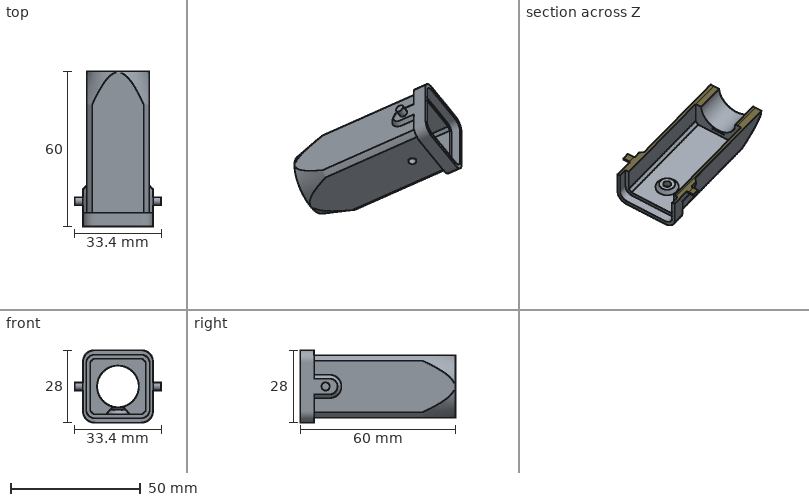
import cadquery as cq
import math

length = 60.0

body_side = 24.25
body_flat_width = 19.9
nose_length = 12.9
tip_diameter = 24.0

flange_width = 27.1
flange_height = 28.0
flange_depth = 5.35
flange_corner_radius = 4.5
socket_side = 24.6
socket_corner_radius = 3.5
socket_depth = 3.6

cavity_side = 21.35
cavity_flat_width = 18.85
end_wall = 12.0
entry_diameter = 16.0

lug_base_width = 9.0
lug_top_width = 6.0
lug_centre_y = 11.4
pin_diameter = 3.2
pin_centre_y = 9.8
pin_span = 33.4

boss_base_diameter = 9.0
boss_top_diameter = 6.2
boss_height = 1.6
boss_centre_y = 14.05
screw_hole_diameter = 3.05

lip_bottom_width = 5.7
lip_top_width = 4.75
lip_bottom_height = 1.8
lip_top_height = 2.6
lip_reach = 0.3

half_body = body_side / 2
half_flange = flange_width / 2
nose_start = length - nose_length
cavity_end = length - end_wall
cavity_floor = -cavity_side / 2


def bar(width, height, end):
    """Rectangular bar along Y, from the open end to Y = end."""
    return cq.Workplane("XY").box(width, end, height).translate((0, end / 2, 0))


def corner_distance(side, flat_width):
    """Distance from the hood axis to the end of a flat on a square of the given side."""
    return math.hypot(side / 2, flat_width / 2)


def cone(base_diameter, top_diameter, height, base, direction):
    """Frustum standing on the given base centre."""
    return cq.Workplane(
        cq.Solid.makeCone(base_diameter / 2, top_diameter / 2, height, cq.Vector(*base), cq.Vector(*direction))
    )


def make_body():
    """Square bar trimmed by a cylinder that tapers to a cone at the nose."""
    envelope_radius = corner_distance(body_side, body_flat_width)
    envelope = (
        cq.Workplane("XY")
        .polyline([
            (0, 0),
            (envelope_radius, 0),
            (envelope_radius, nose_start),
            (tip_diameter / 2, length),
            (0, length),
        ])
        .close()
        .revolve(360, (0, 0, 0), (0, 1, 0))
    )
    return bar(body_side, body_side, length).intersect(envelope)


def make_flange():
    outer = bar(flange_width, flange_height, flange_depth)
    return outer.edges("|Y").fillet(flange_corner_radius)


def make_socket():
    return bar(socket_side, socket_side, socket_depth).edges("|Y").fillet(socket_corner_radius)


def make_cavity():
    """Square cavity with corners rounded about the hood axis."""
    corner_radius = corner_distance(cavity_side, cavity_flat_width)
    envelope = cq.Workplane("XZ").circle(corner_radius).extrude(-cavity_end)
    return bar(cavity_side, cavity_side, cavity_end).intersect(envelope)


def make_entry():
    return cq.Workplane("XZ").circle(entry_diameter / 2).extrude(-length)


def make_lug(side):
    """Tapered lug with a round end, rising from the body side to the flange side."""
    rise = half_flange - half_body
    base = (side * half_body, lug_centre_y, 0)
    round_end = cone(lug_base_width, lug_top_width, rise, base, (side, 0, 0))
    straight = (
        cq.Workplane("XZ", origin=(0, lug_centre_y, 0))
        .polyline([
            (side * half_body, -lug_base_width / 2),
            (side * half_flange, -lug_top_width / 2),
            (side * half_flange, lug_top_width / 2),
            (side * half_body, lug_base_width / 2),
        ])
        .close()
        .extrude(lug_centre_y - flange_depth)
    )
    return round_end.union(straight)


def make_pin(side):
    """Round pin standing out from a lug."""
    root = cq.Workplane("YZ", origin=(side * half_body, pin_centre_y, 0))
    return root.circle(pin_diameter / 2).extrude(side * (pin_span / 2 - half_body))


def make_boss():
    base = (0, boss_centre_y, cavity_floor)
    return cone(boss_base_diameter, boss_top_diameter, boss_height, base, (0, 0, 1))


def make_screw_hole():
    """Hole through the boss and the floor below it."""
    depth = half_body + cavity_floor + boss_height
    floor_outside = cq.Workplane("XY", origin=(0, boss_centre_y, -half_body))
    return floor_outside.circle(screw_hole_diameter / 2).extrude(depth)


def make_lip():
    """Trapezoidal lip whose front face leans out from the wall towards its top."""
    bottom = cavity_floor + lip_bottom_height
    top = cavity_floor + lip_top_height
    front = cavity_end - lip_reach
    outline = (
        cq.Workplane("XZ", origin=(0, front, 0))
        .polyline([
            (-lip_bottom_width / 2, bottom),
            (-lip_top_width / 2, top),
            (lip_top_width / 2, top),
            (lip_bottom_width / 2, bottom),
        ])
        .close()
        .extrude(-lip_reach)
    )
    wedge = (
        cq.Workplane("YZ")
        .polyline([(front, top), (cavity_end, top), (cavity_end, bottom)])
        .close()
        .extrude(lip_bottom_width / 2, both=True)
    )
    return outline.intersect(wedge)


result = make_body().union(make_flange())
for side in (-1, 1):
    result = result.union(make_lug(side)).union(make_pin(side))

result = result.cut(make_socket()).cut(make_cavity()).cut(make_entry())
result = result.union(make_boss()).cut(make_screw_hole())
result = result.union(make_lip())